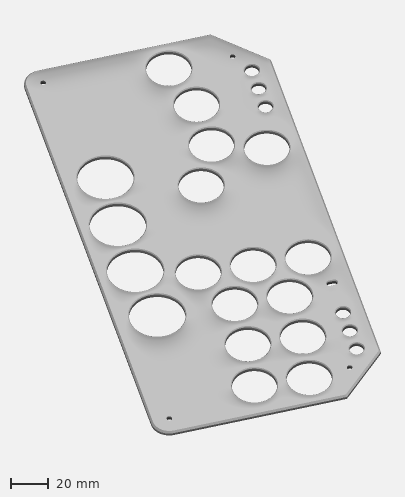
import cadquery as cq

length = 267.8
width = 131.0
thickness = 2.5
corner_cut = 26.0
corner_radius = 10.0
edge_chamfer = 1.0
hole_chamfer = 0.5

finger_button_diameter = 24.0
thumb_button_diameter = 30.0
menu_button_diameter = 7.8
screw_diameter = 3.0

menu_row_y = 53.5
menu_button_spacing = 13.5
menu_outer_x = 102.8
menus_per_side = 3

slot_x = 54.4
slot_length = 5.5
slot_width = 3.0

rear_screw = (115.0, 46.3)
front_screw = (124.0, -55.5)

thumb_buttons = [
    (-50.3, -41.8),
    (-16.3, -44.5),
    (17.7, -44.5),
    (51.5, -41.8),
]

left_hand_buttons = [
    (-47.7, 46.3),
    (-116.0, 11.5),
    (-87.3, 18.7),
    (-57.8, 18.7),
    (-31.3, 5.5),
]

column_step = (-2.7, -29.5)
right_hand_columns = [
    ((33.2, 46.3), 3),
    ((57.3, 29.5), 2),
    ((86.8, 28.5), 2),
    ((116.0, 23.8), 2),
]


def mirrored(points):
    """Return the points together with their mirror images about the YZ plane."""
    return points + [(-x, y) for x, y in points]


def make_plate():
    """Flat plate with two cut rear corners, two round front corners and a bevelled top."""
    plate = cq.Workplane("XY").box(length, width, thickness, centered=(True, True, False))
    plate = plate.edges("|Z and >Y").chamfer(corner_cut)
    plate = plate.edges("|Z and <Y").fillet(corner_radius)
    return plate.faces(">Z").edges().chamfer(edge_chamfer)


def cut_holes(plate, points, diameter):
    """Cut round through holes at the given points."""
    drills = cq.Workplane("XY").pushPoints(points).circle(diameter / 2).extrude(thickness)
    return plate.cut(drills)


def cut_bevelled_holes(plate, points, diameter):
    """Cut round through holes whose top rims are chamfered."""
    bevels = (
        cq.Workplane("XY", origin=(0, 0, thickness - hole_chamfer))
        .pushPoints(points)
        .circle(diameter / 2)
        .extrude(hole_chamfer, taper=-45)
    )
    return cut_holes(plate, points, diameter).cut(bevels)


def cut_cable_slot(plate):
    """Cut a round-ended through slot along Y with a chamfered top rim."""
    slot = (
        cq.Workplane("XY")
        .center(slot_x, menu_row_y)
        .slot2D(slot_length, slot_width, 90)
        .extrude(thickness)
    )
    bevel = (
        cq.Workplane("XY", origin=(slot_x, menu_row_y, thickness - hole_chamfer))
        .slot2D(slot_length, slot_width, 90)
        .extrude(hole_chamfer, taper=-45)
    )
    return plate.cut(slot).cut(bevel)


right_hand_buttons = [
    (x + row * column_step[0], y + row * column_step[1])
    for (x, y), count in right_hand_columns
    for row in range(count)
]
menu_buttons = [(menu_outer_x - i * menu_button_spacing, menu_row_y) for i in range(menus_per_side)]

result = make_plate()
result = cut_bevelled_holes(result, left_hand_buttons + right_hand_buttons, finger_button_diameter)
result = cut_bevelled_holes(result, thumb_buttons, thumb_button_diameter)
result = cut_bevelled_holes(result, mirrored(menu_buttons), menu_button_diameter)
result = cut_holes(result, mirrored([rear_screw, front_screw]), screw_diameter)
result = cut_cable_slot(result)